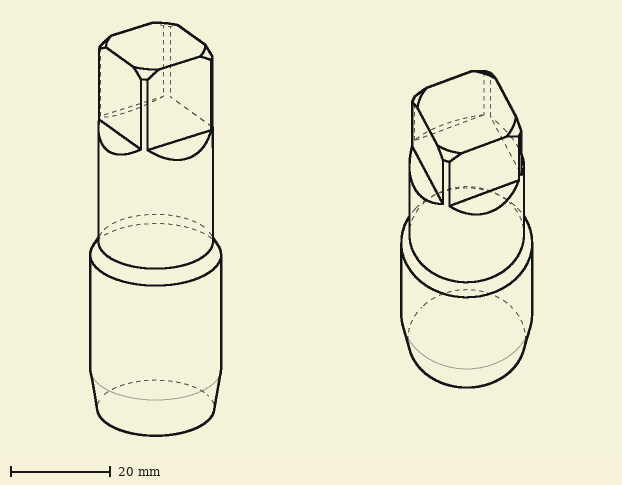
import cadquery as cq

total_length = 82.5

body_diameter = 26.3
body_height = 35.0
tip_diameter = 23.6
tip_height = 8.9

shank_diameter = 23.0
shoulder_height = 3.0
drive_width = 17.25
drive_length = 17.6
top_chamfer = 1.6

body_radius = body_diameter / 2
shank_radius = shank_diameter / 2
shoulder_top = body_height + shoulder_height
drive_base = total_length - drive_length
drive_run_out = (shank_diameter - drive_width) / 2


def make_plug_body():
    """Solid of revolution, narrowing towards its lower end."""
    return (
        cq.Workplane("XZ")
        .lineTo(tip_diameter / 2, 0)
        .lineTo(body_radius, tip_height)
        .lineTo(body_radius, body_height)
        .lineTo(0, body_height)
        .close()
        .revolve(360, (0, 0), (0, 1))
    )


def make_round_shank():
    """Turned shank with its shoulder and chamfered top, before the flats are cut."""
    return (
        cq.Workplane("XZ")
        .moveTo(0, body_height)
        .lineTo(body_radius, body_height)
        .lineTo(shank_radius, shoulder_top)
        .lineTo(shank_radius, total_length - top_chamfer)
        .lineTo(shank_radius - top_chamfer, total_length)
        .lineTo(0, total_length)
        .close()
        .revolve(360, (0, 0), (0, 1))
    )


def make_flat_cutter():
    """Material removed on the +X side: a flat that runs out outwards at 45 degrees."""
    return (
        cq.Workplane("XZ")
        .moveTo(drive_width / 2, total_length)
        .lineTo(drive_width / 2, drive_base)
        .lineTo(shank_radius, drive_base - drive_run_out)
        .lineTo(shank_radius, total_length)
        .close()
        .extrude(shank_radius, both=True)
    )


def make_shank():
    """Shank with four flats, leaving round corners on the square drive."""
    shank = make_round_shank()
    flat_cutter = make_flat_cutter()
    for angle in (0, 90, 180, 270):
        shank = shank.cut(flat_cutter.rotate((0, 0, 0), (0, 0, 1), angle))
    return shank


plug_body = make_plug_body()
shank = make_shank()

result = cq.Compound.makeCompound([plug_body.val(), shank.val()])